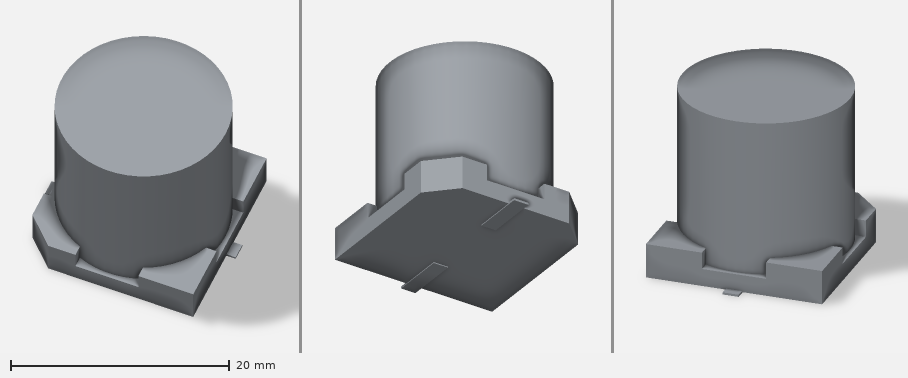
import cadquery as cq

total_length = 19.0
total_height = 17.05

base_side = 17.2
base_bottom = 0.1
base_top = 3.45
corner_cut = 2.75

channel_width = 6.27
channel_floor = 1.8

can_diameter = 16.34

terminal_length = 5.5
terminal_width = 1.55
terminal_thickness = 0.2


def make_base():
    """Base block with cut corners and a channel opening on each side."""
    base = (
        cq.Workplane("XY", origin=(0, 0, base_bottom))
        .rect(base_side, base_side)
        .extrude(base_top - base_bottom)
        .edges("|Z and <X")
        .chamfer(corner_cut)
    )
    channel_depth = base_top - channel_floor
    floor_plane = cq.Workplane("XY", origin=(0, 0, channel_floor))
    for size_x, size_y in ((base_side, channel_width), (channel_width, base_side)):
        base = base.cut(floor_plane.rect(size_x, size_y).extrude(channel_depth))
    return base


def make_can():
    """Cylindrical can standing on the channel floor."""
    return (
        cq.Workplane("XY", origin=(0, 0, channel_floor))
        .circle(can_diameter / 2)
        .extrude(total_height - channel_floor)
    )


def make_terminal(side):
    """Flat terminal set into the base underside; side is -1 or +1 along X."""
    center_x = side * (total_length - terminal_length) / 2
    return (
        cq.Workplane("XY", origin=(center_x, 0, 0))
        .rect(terminal_length, terminal_width)
        .extrude(terminal_thickness)
    )


result = make_base().union(make_can())
for side in (-1, 1):
    result = result.union(make_terminal(side))